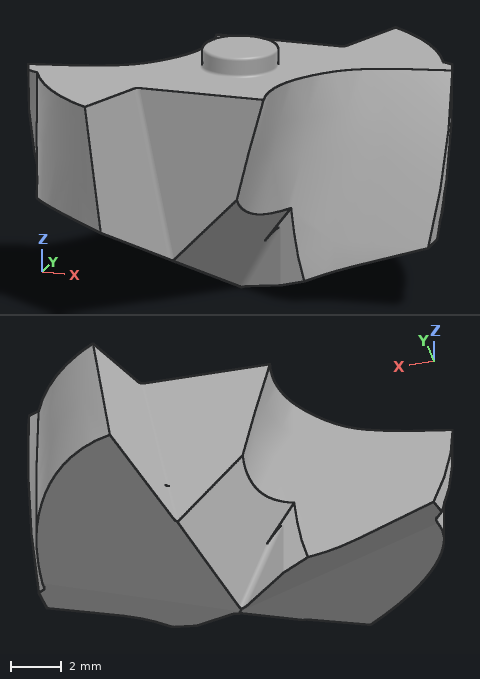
import cadquery as cq
import math

body_height = 9.05
stud_height = 0.87

margin_radius = 8.35
relief_radius = 8.02
twist_per_unit_height = 3.976
body_twist = twist_per_unit_height * body_height
margin_start_angle = 194.5
margin_end_angle = 200.0
relief_start_angle = 202.4
relief_end_angle = 283.0
flute_points = [
    (-2.15, 3.75),
    (-2.05, 2.8),
    (-2.3, 1.44),
    (-2.97, 0.25),
    (-4.15, -0.92),
    (-5.65, -1.54),
    (-7.13, -1.9),
]

seat_offset = 3.79
seat_undercut = 0.015
wall_corner_x = -3.09
wall_lean = 0.2
wall_run = 0.394
notch_fillet = 0.2

facet_slope_x = -0.36
primary_slope_y = -0.1
secondary_slope_y = -0.388

gash_slope_x = 1.03
gash_slope_y = -1.04
gash_drop = -0.15
rake_slope = 0.606
gash_fillet = 0.25
relief_rake_slope = 0.28
relief_rake_start_x = 2.07

stud_radius = 1.5
stud_round = 0.15

reach = 16.7


def polar(radius, angle):
    return (radius * math.cos(math.radians(angle)), radius * math.sin(math.radians(angle)))


def opposite(point):
    return (-point[0], -point[1])


def half_turn(solid):
    return solid.rotate((0, 0, 0), (0, 0, 1), 180)


def block_beyond(origin, normal):
    """Large block filling the side of a plane that its normal points to."""
    plane = cq.Plane(origin=origin, normal=normal)
    return cq.Workplane(plane).rect(4 * reach, 4 * reach).extrude(2 * reach)


def twisted_body():
    margin_start = polar(margin_radius, margin_start_angle)
    margin_middle = polar(margin_radius, (margin_start_angle + margin_end_angle) / 2)
    margin_end = polar(margin_radius, margin_end_angle)
    relief_start = polar(relief_radius, relief_start_angle)
    relief_middle = polar(relief_radius, (relief_start_angle + relief_end_angle) / 2)
    relief_end = polar(relief_radius, relief_end_angle)

    section = cq.Workplane("XY").moveTo(*flute_points[0])
    for turn in (lambda point: point, opposite):
        section = (
            section.spline([turn(p) for p in flute_points[1:] + [margin_start]], includeCurrent=True)
            .threePointArc(turn(margin_middle), turn(margin_end))
            .lineTo(*turn(relief_start))
            .threePointArc(turn(relief_middle), turn(relief_end))
            .lineTo(*turn(opposite(flute_points[0])))
        )
    body = section.close().twistExtrude(body_height, body_twist)
    return body.rotate((0, 0, 0), (0, 0, 1), -body_twist)


def notch_outline(depth):
    """Corners of the -Y notch at a depth below the top face."""
    seat_y = -seat_offset + seat_undercut * depth
    corner_x = wall_corner_x + wall_lean * depth
    return [
        (corner_x, seat_y),
        (corner_x - wall_run * reach, seat_y - reach),
        (reach, seat_y - reach),
        (reach, seat_y),
    ]


def notch_tool():
    depth = body_height + 0.17
    tool = (
        cq.Workplane("XY", origin=(0, 0, body_height))
        .polyline(notch_outline(0))
        .close()
        .workplane(offset=-depth)
        .polyline(notch_outline(depth))
        .close()
        .loft(ruled=True)
    )
    middle_x, middle_y = notch_outline(depth / 2)[0]
    corner = (middle_x, middle_y, body_height - depth / 2)
    return tool.edges(cq.selectors.NearestToPointSelector(corner)).fillet(notch_fillet)


def facet_tool(slope_y):
    return block_beyond((0, 0, 0), (facet_slope_x, slope_y, -1))


def below_gash_floor():
    return block_beyond((0, 0, gash_drop), (gash_slope_x, gash_slope_y, -1))


def gash_tool():
    before_rake = block_beyond((0, 0, 0), (-rake_slope, -1, 0))
    root = cq.Vector(1, -rake_slope, gash_slope_x - gash_slope_y * rake_slope)
    wedge = below_gash_floor().intersect(before_rake)
    return wedge.edges(cq.selectors.ParallelDirSelector(root)).fillet(gash_fillet)


def rake_relief_tool():
    start = (relief_rake_start_x, -rake_slope * relief_rake_start_x, 0)
    return below_gash_floor().intersect(block_beyond(start, (-relief_rake_slope, -1, 0)))


def stud():
    arc_inset = stud_round * (1 - math.sqrt(0.5))
    top = body_height + stud_height
    return (
        cq.Workplane("XZ")
        .moveTo(0, body_height)
        .lineTo(stud_radius + stud_round, body_height)
        .threePointArc((stud_radius + arc_inset, body_height + arc_inset), (stud_radius, body_height + stud_round))
        .lineTo(stud_radius, top - stud_round)
        .threePointArc((stud_radius - arc_inset, top - arc_inset), (stud_radius - stud_round, top))
        .lineTo(0, top)
        .close()
        .revolve(360, (0, 0, 0), (0, 1, 0))
    )


tip = twisted_body()
cutting_tools = [
    notch_tool(),
    facet_tool(primary_slope_y),
    facet_tool(secondary_slope_y),
    gash_tool(),
    rake_relief_tool(),
]
for tool in cutting_tools:
    tip = tip.cut(tool).cut(half_turn(tool))
result = tip.union(stud())